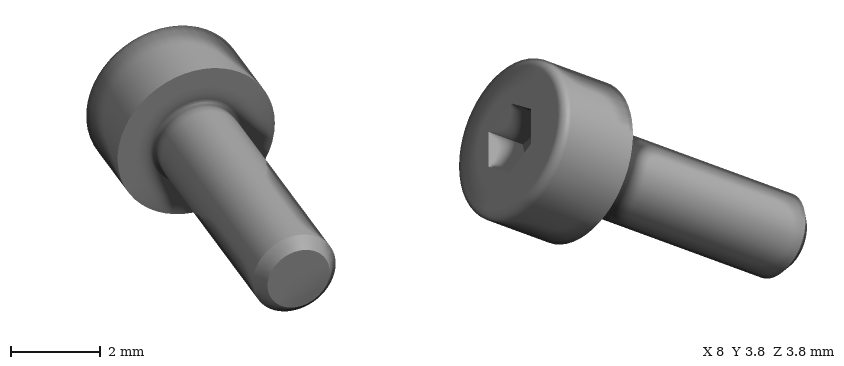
import cadquery as cq
import math

thread_diameter = 2.0
shank_length = 6.0
head_diameter = 3.8
head_height = 2.0
head_edge_radius = 0.2
neck_fillet_radius = 0.1
tip_chamfer = 0.25

socket_across_flats = 1.5
socket_depth = 1.0
socket_cone_angle = 120.0

head_radius = head_diameter / 2
shank_radius = thread_diameter / 2
head_top = -head_height
socket_corner_radius = socket_across_flats / math.sqrt(3)
socket_cone_depth = socket_corner_radius / math.tan(math.radians(socket_cone_angle / 2))


def make_head():
    """Cylindrical head with a rounded rim around the socket face."""
    head = cq.Workplane("YZ").workplane(offset=head_top).circle(head_radius).extrude(head_height)
    return head.faces("<X").edges().fillet(head_edge_radius)


def make_shank():
    """Plain shank with a chamfered tip."""
    shank = cq.Workplane("YZ").circle(shank_radius).extrude(shank_length)
    return shank.faces(">X").edges().chamfer(tip_chamfer)


def make_neck_fillet():
    """Ring with a concave quarter-round that blends the shank into the head."""
    outer_radius = shank_radius + neck_fillet_radius
    arc_offset = neck_fillet_radius * math.sqrt(0.5)
    arc_middle = (neck_fillet_radius - arc_offset, outer_radius - arc_offset)
    profile = (
        cq.Workplane("XY")
        .lineTo(0, outer_radius)
        .threePointArc(arc_middle, (neck_fillet_radius, shank_radius))
        .lineTo(neck_fillet_radius, 0)
        .close()
    )
    return profile.revolve(360, (0, 0), (1, 0))


def make_socket():
    """Hexagonal prism, two corners on the Z axis, cut to a cone at its inner end."""
    cone_base = head_top + socket_depth
    cone_tip = cone_base + socket_cone_depth
    prism = (
        cq.Workplane("YZ")
        .workplane(offset=head_top)
        .polygon(6, 2 * socket_corner_radius)
        .extrude(cone_tip - head_top)
        .rotate((0, 0, 0), (1, 0, 0), 90)
    )
    pointed_envelope = (
        cq.Workplane("XY")
        .moveTo(head_top, 0)
        .lineTo(head_top, socket_corner_radius)
        .lineTo(cone_base, socket_corner_radius)
        .lineTo(cone_tip, 0)
        .close()
        .revolve(360, (0, 0), (1, 0))
    )
    return prism.intersect(pointed_envelope)


result = make_head().union(make_shank()).union(make_neck_fillet()).cut(make_socket())